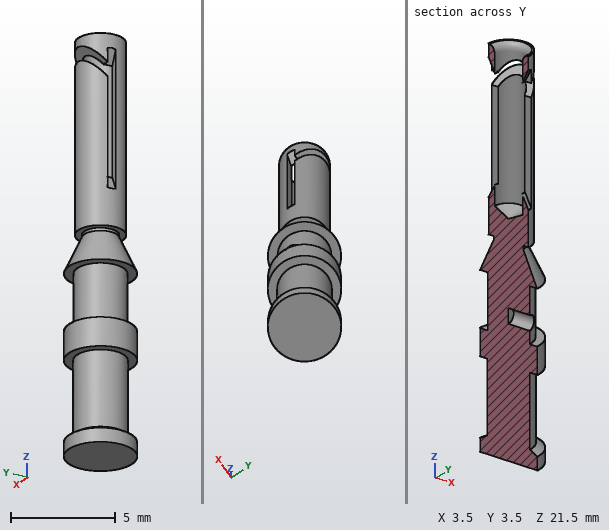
import cadquery as cq

total_height = 21.5
flange_radius = 3.5 / 2

foot_height = 0.73
foot_shoulder_top = 0.99
barrel_radius = 2.62 / 2
collar_bottom = 4.99
collar_top = 6.5

waist_radius = 2.58 / 2
inspection_hole_radius = 0.8 / 2
inspection_hole_height = 7.6

cone_bottom = 9.5
cone_top = 11.35
neck_radius = 1.8 / 2
tube_bottom = 11.5
tube_radius = 2.45 / 2

lead_in_radius = 2.24 / 2
lead_in_depth = 0.4
bore_radius = 1.68 / 2
bore_depth = 8.38
bore_tip_height = 0.43

slot_half_width = 0.22
slot_outer_bottom = 13.45
slot_outer_top = 20.77
slot_end_rise = 0.75

slit_height = 0.75
slit_bottom_at_slot = 19.26
slit_bottom_at_rim = 20.27


def revolve_profile(points):
    """Turn a closed (radius, height) outline around the Z axis."""
    return cq.Workplane("XZ").polyline(points).close().revolve(360, (0, 0), (0, 1))


def make_body():
    return revolve_profile([
        (0, 0),
        (flange_radius, 0),
        (flange_radius, foot_height),
        (barrel_radius, foot_shoulder_top),
        (barrel_radius, collar_bottom),
        (flange_radius, collar_bottom),
        (flange_radius, collar_top),
        (waist_radius, collar_top),
        (waist_radius, cone_bottom),
        (flange_radius, cone_bottom),
        (neck_radius, cone_top),
        (neck_radius, tube_bottom),
        (tube_radius, tube_bottom),
        (tube_radius, total_height),
        (0, total_height),
    ])


def make_bore():
    floor = total_height - bore_depth
    return (
        cq.Workplane("XZ")
        .moveTo(0, floor - bore_tip_height)
        .lineTo(bore_radius, floor)
        .lineTo(bore_radius, total_height - lead_in_depth)
        .tangentArcPoint((lead_in_radius, total_height), relative=False)
        .lineTo(0, total_height)
        .close()
        .revolve(360, (0, 0), (0, 1))
    )


def make_slot():
    inner_bottom = slot_outer_bottom + slot_end_rise
    inner_top = slot_outer_top - slot_end_rise
    outline = [
        (-tube_radius, slot_outer_bottom),
        (-bore_radius, inner_bottom),
        (bore_radius, inner_bottom),
        (tube_radius, slot_outer_bottom),
        (tube_radius, slot_outer_top),
        (bore_radius, inner_top),
        (-bore_radius, inner_top),
        (-tube_radius, slot_outer_top),
    ]
    return cq.Workplane("XZ").polyline(outline).close().extrude(slot_half_width, both=True)


def make_slit():
    outline = [
        (slot_half_width, slit_bottom_at_slot),
        (tube_radius, slit_bottom_at_rim),
        (tube_radius, slit_bottom_at_rim + slit_height),
        (slot_half_width, slit_bottom_at_slot + slit_height),
    ]
    return cq.Workplane("YZ").polyline(outline).close().extrude(tube_radius, both=True)


def make_inspection_hole():
    """Blind hole from the +X side of the waist to its axis."""
    return (
        cq.Workplane("YZ")
        .center(0, inspection_hole_height)
        .circle(inspection_hole_radius)
        .extrude(waist_radius)
    )


result = (
    make_body()
    .cut(make_bore())
    .cut(make_slot())
    .cut(make_slit())
    .cut(make_inspection_hole())
)